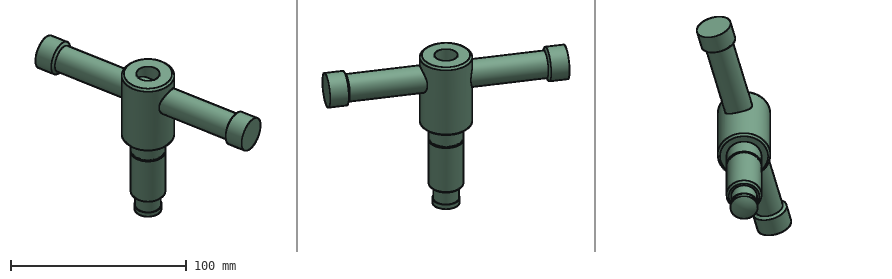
import cadquery as cq

total_length = 100.0
hub_radius = 15.0
hub_height = 45.0
edge_chamfer = 1.3
thread_radius = 10.0
thread_end_depth = 86.0
groove_depth = 55.0
groove_width = 0.8
groove_radius = 9.25
neck_radius = 7.4
collar_radius = 7.8
collar_depth = 94.5
dome_height = 2.5
top_hole_diameter = 13.2

handle_length = 140.0
handle_radius = 8.0
handle_axis_depth = 14.0
knob_radius = 10.0
knob_length = 12.0
knob_taper = 1.2


def handle_bar(length):
    """Plain round bar along X, centred on the handle axis."""
    return (
        cq.Workplane("YZ", origin=(-length / 2, 0, -handle_axis_depth))
        .circle(handle_radius)
        .extrude(length)
    )


def make_screw():
    """Hub, threaded shank, neck and domed tip turned as one piece."""
    dome_start = dome_height - total_length
    dome_sphere_radius = (collar_radius**2 + dome_height**2) / (2 * dome_height)
    dome_mid_radius = collar_radius / 2
    dome_centre = dome_sphere_radius - total_length
    dome_mid_z = dome_centre - (dome_sphere_radius**2 - dome_mid_radius**2) ** 0.5
    groove_bottom = -groove_depth - groove_width

    screw = (
        cq.Workplane("XZ")
        .lineTo(hub_radius - edge_chamfer, 0)
        .lineTo(hub_radius, -edge_chamfer)
        .lineTo(hub_radius, edge_chamfer - hub_height)
        .lineTo(hub_radius - edge_chamfer, -hub_height)
        .lineTo(thread_radius, -hub_height)
        .lineTo(thread_radius, -groove_depth)
        .lineTo(groove_radius, -groove_depth)
        .lineTo(groove_radius, groove_bottom)
        .lineTo(thread_radius, groove_bottom)
        .lineTo(thread_radius, edge_chamfer - thread_end_depth)
        .lineTo(thread_radius - edge_chamfer, -thread_end_depth)
        .lineTo(neck_radius, -thread_end_depth)
        .lineTo(neck_radius, -collar_depth)
        .lineTo(collar_radius, -collar_depth)
        .lineTo(collar_radius, dome_start)
        .threePointArc((dome_mid_radius, dome_mid_z), (0, -total_length))
        .close()
        .revolve(360, (0, 0, 0), (0, 1, 0))
    )
    top_hole = cq.Workplane("XY").circle(top_hole_diameter / 2).extrude(-handle_axis_depth)
    cross_hole = handle_bar(2 * hub_radius)
    return screw.cut(top_hole).cut(cross_hole)


def make_handle():
    """Round bar with a larger knob at each end, turned as one piece."""
    half_length = handle_length / 2
    knob_start = half_length - knob_length
    knob_full = knob_start + knob_taper
    return (
        cq.Workplane("XY", origin=(0, 0, -handle_axis_depth))
        .moveTo(-half_length, 0)
        .lineTo(-half_length, knob_radius)
        .lineTo(-knob_full, knob_radius)
        .lineTo(-knob_start, handle_radius)
        .lineTo(knob_start, handle_radius)
        .lineTo(knob_full, knob_radius)
        .lineTo(half_length, knob_radius)
        .lineTo(half_length, 0)
        .close()
        .revolve(360, (0, 0, 0), (1, 0, 0))
    )


screw = make_screw()
handle = make_handle()
result = cq.Compound.makeCompound([screw.val(), handle.val()])